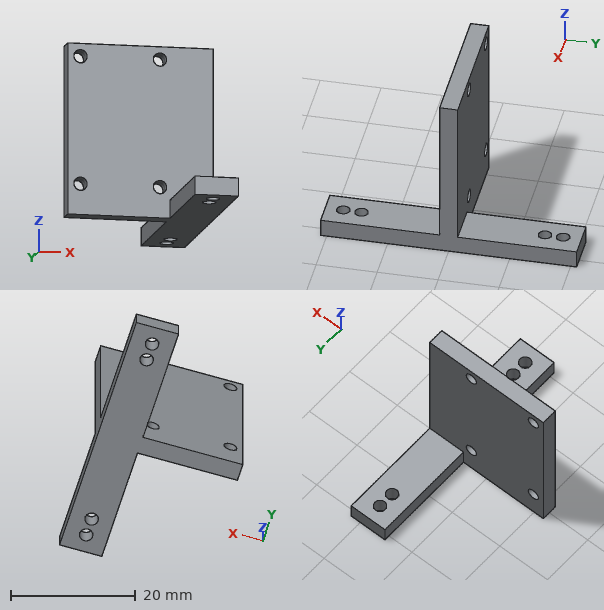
import cadquery as cq

plate_length = 23.85
plate_height = 28.0
bar_length = 42.0
bar_width = 7.1
thickness = 3.0
hole_diameter = 2.15

plate_hole_inset = 2.1
plate_hole_spacing_x = 13.0
plate_hole_spacing_z = 20.87

bar_hole_inset = 3.0
bar_hole_pitch = 3.0


def make_plate():
    """Upright plate, centred on Y = 0, with four holes through its thickness."""
    plate = cq.Workplane("XY").box(
        plate_length, thickness, plate_height, centered=(False, True, False)
    )
    pattern_x = plate_hole_inset + plate_hole_spacing_x / 2
    pattern_z = plate_height - plate_hole_inset - plate_hole_spacing_z / 2
    holes = (
        cq.Workplane("XZ")
        .center(pattern_x, pattern_z)
        .rarray(plate_hole_spacing_x, plate_hole_spacing_z, 2, 2)
        .circle(hole_diameter / 2)
        .extrude(thickness, both=True)
    )
    return plate.cut(holes)


def make_bar():
    """Flat foot bar along Y, flush with the plate's bottom and +X end."""
    bar_center_x = plate_length - bar_width / 2
    outer_hole_y = bar_length / 2 - bar_hole_inset
    inner_hole_y = outer_hole_y - bar_hole_pitch
    hole_points = [
        (0, side * y) for side in (-1, 1) for y in (inner_hole_y, outer_hole_y)
    ]
    return (
        cq.Workplane("XY")
        .center(bar_center_x, 0)
        .rect(bar_width, bar_length)
        .pushPoints(hole_points)
        .circle(hole_diameter / 2)
        .extrude(thickness)
    )


result = make_plate().union(make_bar())